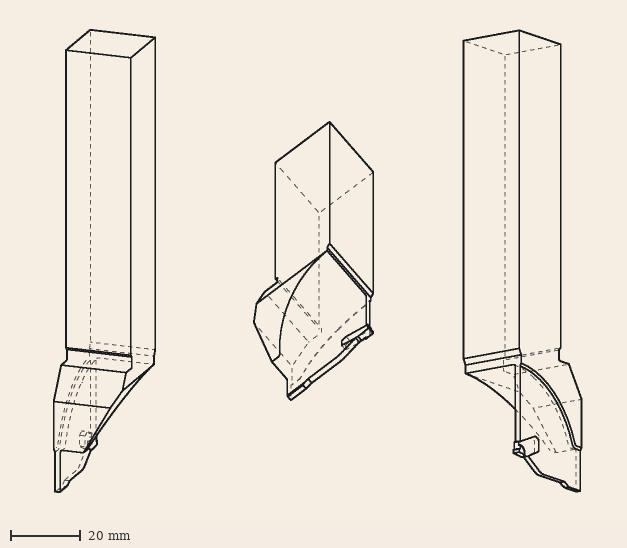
import cadquery as cq
import math

TOTAL_HEIGHT = 130.0
SHANK_WIDTH = 19.9
SHANK_DEPTH = 20.0
HEAD_DEPTH = 30.0
MARGIN = 2.6

BACK_STEP = 0.9
BACK_STEP_TOP = 35.9
BACK_STEP_BOTTOM = 34.2
RELIEF_DEPTH = 0.8
RELIEF_TOP = 40.3
RELIEF_FILLET = 0.4

SHOULDER_Z = 36.3
SHOULDER_Y = -23.9
HEAD_FRONT_TOP = 27.2
SLOPE_TOP_Z = 31.7
SLOPE_BOTTOM_X = 9.1
SLOPE_BOTTOM_Z = 12.7

BLADE_LEFT = 0.4
BLADE_RIGHT = 2.1
BLADE_BASE_Z = 1.2
CHIN_START = (-9.9, 2.0)
CHIN_MIDDLE = (-10.9, 1.4)
CHIN_END_Y = -12.2
HEEL_START_Y = -22.4
HEEL_Y = -24.5
ARC_CENTER_Z = 3.0
ARC_RADIUS = 28.7
LEDGE_Z = 12.7
LEDGE_FILLET = 1.2
STEP_SLOPE_WIDTH = 0.8
ROOT_FILLET = 0.6

SEAT_BACK_Z = 8.6
SEAT_FRONT_BOTTOM = (-4.8, 5.1)
INSERT_BACK_Y = -0.4
INSERT_TOP = (-8.3, 11.7)
INSERT_END_Y = -10.0
INSERT_END_TOP_Z = 10.9
INSERT_END_BOTTOM_Z = 7.7
INSERT_BOTTOM = (-9.2, 7.2)
FLANK_BOTTOM = (-3.9, 4.8)
TIP_BOTTOM_Z = 5.2
TIP_TOP_Z = 6.2
NOSE_MIDDLE = (-2.0, 6.9)
NOSE_FRONT = (-2.7, 5.7)
NOSE_TOP_Z = 7.4
NOSE_BOTTOM = (-2.7, 5.0)


def side_sketch(x):
    """Workplane at the given X whose coordinates are (Y, Z)."""
    return cq.Workplane("YZ", origin=(x, 0, 0))


def make_blank():
    """Side outline of shank, head and blade at full width."""
    relief_y = RELIEF_DEPTH - SHANK_DEPTH
    blank = (
        side_sketch(0)
        .moveTo(0, TOTAL_HEIGHT)
        .lineTo(0, BACK_STEP_TOP)
        .lineTo(-BACK_STEP, BACK_STEP_BOTTOM)
        .lineTo(-BACK_STEP, TIP_BOTTOM_Z)
        .lineTo(*SEAT_FRONT_BOTTOM)
        .lineTo(*CHIN_START)
        .threePointArc(CHIN_MIDDLE, (CHIN_END_Y, BLADE_BASE_Z))
        .lineTo(HEEL_START_Y, BLADE_BASE_Z)
        .lineTo(HEEL_Y, 0)
        .lineTo(-HEAD_DEPTH, 0)
        .lineTo(-HEAD_DEPTH, HEAD_FRONT_TOP)
        .lineTo(SHOULDER_Y, SHOULDER_Z)
        .lineTo(relief_y, SHOULDER_Z)
        .lineTo(relief_y, RELIEF_TOP - RELIEF_DEPTH)
        .lineTo(-SHANK_DEPTH, RELIEF_TOP)
        .lineTo(-SHANK_DEPTH, TOTAL_HEIGHT)
        .close()
        .extrude(SHANK_WIDTH)
    )
    inner_corner = cq.selectors.NearestToPointSelector((SHANK_WIDTH / 2, relief_y, SHOULDER_Z))
    return blank.edges(inner_corner).fillet(RELIEF_FILLET)


def make_slope_cutter():
    """Wedge that slants the right side of the head."""
    run = (SHANK_WIDTH - SLOPE_BOTTOM_X) / (SLOPE_TOP_Z - SLOPE_BOTTOM_Z)
    return (
        cq.Workplane("XZ")
        .moveTo(SHANK_WIDTH, SLOPE_TOP_Z)
        .lineTo(SHANK_WIDTH - run * (SLOPE_TOP_Z + MARGIN), -MARGIN)
        .lineTo(SHANK_WIDTH + MARGIN, -MARGIN)
        .lineTo(SHANK_WIDTH + MARGIN, SLOPE_TOP_Z)
        .close()
        .extrude(HEAD_DEPTH + MARGIN)
    )


def blade_outline(sketch, inset=0):
    """Closed outline of the region under the curved support edge, shrunk by the inset."""
    radius = ARC_RADIUS - inset
    ledge_z = LEDGE_Z - inset
    fillet = LEDGE_FILLET + inset
    rise = ledge_z + fillet - ARC_CENTER_Z
    fillet_y = -math.sqrt((radius + fillet) ** 2 - rise**2)
    angle = math.atan2(rise, -fillet_y)
    middle_angle = (angle + math.pi / 2) / 2
    return (
        sketch
        .moveTo(MARGIN, -MARGIN)
        .lineTo(MARGIN, ARC_CENTER_Z + radius)
        .lineTo(0, ARC_CENTER_Z + radius)
        .threePointArc(
            (-radius * math.cos(middle_angle), ARC_CENTER_Z + radius * math.sin(middle_angle)),
            (-radius * math.cos(angle), ARC_CENTER_Z + radius * math.sin(angle)),
        )
        .threePointArc(
            (fillet_y + fillet * math.cos(middle_angle),
             ledge_z + fillet - fillet * math.sin(middle_angle)),
            (fillet_y, ledge_z),
        )
        .lineTo(-HEAD_DEPTH - MARGIN, ledge_z)
        .lineTo(-HEAD_DEPTH - MARGIN, -MARGIN)
        .close()
    )


def make_right_blade_cutter():
    """Clears the right side of the blade, leaving a rounded root."""
    cutter = blade_outline(side_sketch(BLADE_RIGHT)).extrude(SHANK_WIDTH)
    return cutter.faces("<X").edges("not(<Y or >Y or <Z)").fillet(ROOT_FILLET)


def make_left_blade_cutter():
    """Shallow step with a sloped wall on the left side of the blade."""
    outer = blade_outline(side_sketch(0))
    both = blade_outline(outer.workplane(offset=BLADE_LEFT), STEP_SLOPE_WIDTH)
    return both.loft(ruled=True, combine=True)


def make_insert():
    """Insert flush with the blade, with a nose that stands out to the left."""
    body = (
        side_sketch(BLADE_LEFT)
        .moveTo(INSERT_BACK_Y, TIP_TOP_Z)
        .lineTo(INSERT_BACK_Y, SEAT_BACK_Z)
        .lineTo(-BACK_STEP, SEAT_BACK_Z)
        .lineTo(*INSERT_TOP)
        .lineTo(INSERT_END_Y, INSERT_END_TOP_Z)
        .lineTo(INSERT_END_Y, INSERT_END_BOTTOM_Z)
        .lineTo(*INSERT_BOTTOM)
        .lineTo(*SEAT_FRONT_BOTTOM)
        .lineTo(*FLANK_BOTTOM)
        .lineTo(*NOSE_BOTTOM)
        .lineTo(0, TIP_BOTTOM_Z)
        .lineTo(0, TIP_TOP_Z)
        .close()
        .extrude(BLADE_RIGHT - BLADE_LEFT)
    )
    nose = (
        side_sketch(0)
        .moveTo(0, TIP_BOTTOM_Z)
        .lineTo(0, TIP_TOP_Z)
        .lineTo(INSERT_BACK_Y, TIP_TOP_Z)
        .lineTo(INSERT_BACK_Y, NOSE_TOP_Z)
        .threePointArc(NOSE_MIDDLE, NOSE_FRONT)
        .lineTo(*NOSE_BOTTOM)
        .close()
        .extrude(BLADE_RIGHT)
    )
    return body.union(nose)


insert = make_insert()
holder = (
    make_blank()
    .cut(make_slope_cutter())
    .cut(make_right_blade_cutter())
    .cut(make_left_blade_cutter())
    .cut(insert)
)

result = cq.Compound.makeCompound([holder.val(), insert.val()])